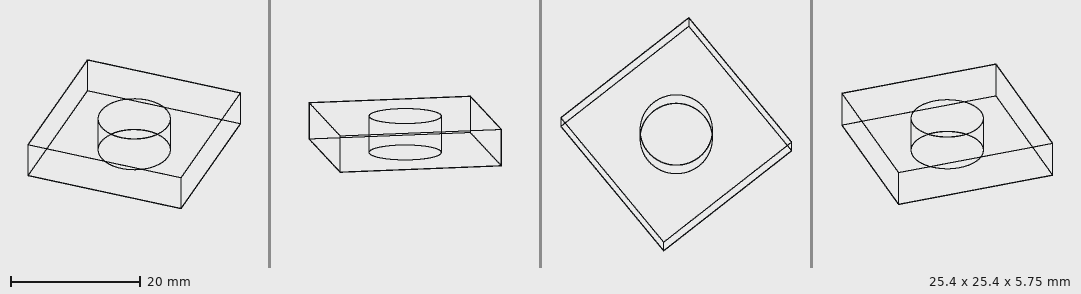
import cadquery as cq

side_length = 25.4
thickness = 5.75
hole_diameter = 11.18


def square_plate():
    """Plate centred on the origin."""
    return cq.Workplane("XY").box(side_length, side_length, thickness)


def drill_center_hole(plate):
    """Cut the round hole through the middle of the plate along Z."""
    return plate.faces(">Z").workplane().hole(hole_diameter)


result = drill_center_hole(square_plate())